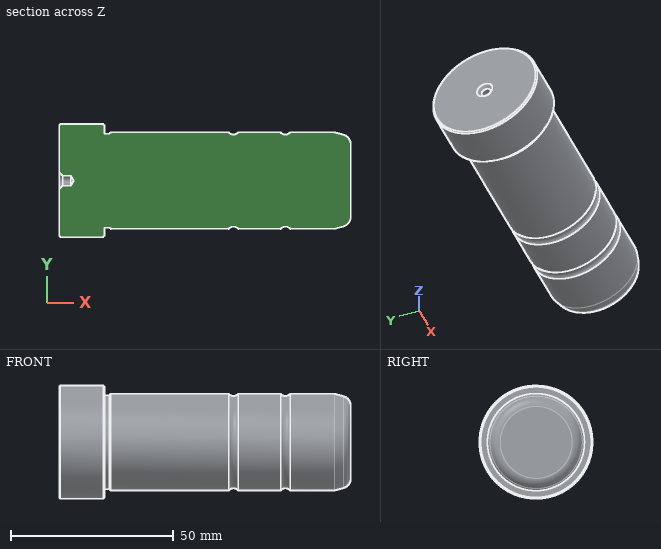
import cadquery as cq
import math

length = 90.0
head_radius = 35.0 / 2
head_length = 14.0
head_chamfer = 0.45
shaft_radius = 30.0 / 2

neck_depth = 0.45
neck_length = 1.4
neck_end_run = 0.5

groove_starts = (52.3, 68.3)
groove_width = 3.0
groove_depth = 0.7

lead_start = 84.8
lead_angle = math.radians(15)
nose_radius = 3.2

countersink_radius = 2.6
pilot_radius = 1.485
pilot_depth = 3.6
countersink_half_angle = math.radians(45)
drill_tip_half_angle = math.radians(59)


def make_body():
    """Revolve the stepped outer profile about X."""
    neck_radius = shaft_radius - neck_depth
    neck_end = head_length + neck_length
    nose_center_x = length - nose_radius
    taper_end_x = nose_center_x + nose_radius * math.sin(lead_angle)
    taper_end_r = shaft_radius - (taper_end_x - lead_start) * math.tan(lead_angle)
    nose_center_r = taper_end_r - nose_radius * math.cos(lead_angle)
    mid_angle = (math.pi / 2 - lead_angle) / 2
    nose_mid = (
        nose_center_x + nose_radius * math.cos(mid_angle),
        nose_center_r + nose_radius * math.sin(mid_angle),
    )

    profile = (
        cq.Workplane("XY")
        .moveTo(0, 0)
        .lineTo(0, head_radius - head_chamfer)
        .lineTo(head_chamfer, head_radius)
        .lineTo(head_length - head_chamfer, head_radius)
        .lineTo(head_length, head_radius - head_chamfer)
        .lineTo(head_length, neck_radius)
        .lineTo(neck_end, neck_radius)
        .lineTo(neck_end + neck_end_run, shaft_radius)
    )
    for start in groove_starts:
        profile = profile.lineTo(start, shaft_radius).threePointArc(
            (start + groove_width / 2, shaft_radius - groove_depth),
            (start + groove_width, shaft_radius),
        )
    profile = (
        profile.lineTo(lead_start, shaft_radius)
        .lineTo(taper_end_x, taper_end_r)
        .threePointArc(nose_mid, (length, nose_center_r))
        .lineTo(length, 0)
        .close()
    )
    return profile.revolve(360, (0, 0, 0), (1, 0, 0))


def make_center_hole():
    """Countersink, pilot bore and conical drill tip as one cutter."""
    countersink_depth = (countersink_radius - pilot_radius) / math.tan(countersink_half_angle)
    tip_length = pilot_radius / math.tan(drill_tip_half_angle)
    return (
        cq.Workplane("XY")
        .moveTo(0, 0)
        .lineTo(0, countersink_radius)
        .lineTo(countersink_depth, pilot_radius)
        .lineTo(pilot_depth, pilot_radius)
        .lineTo(pilot_depth + tip_length, 0)
        .close()
        .revolve(360, (0, 0, 0), (1, 0, 0))
    )


result = make_body().cut(make_center_hole())